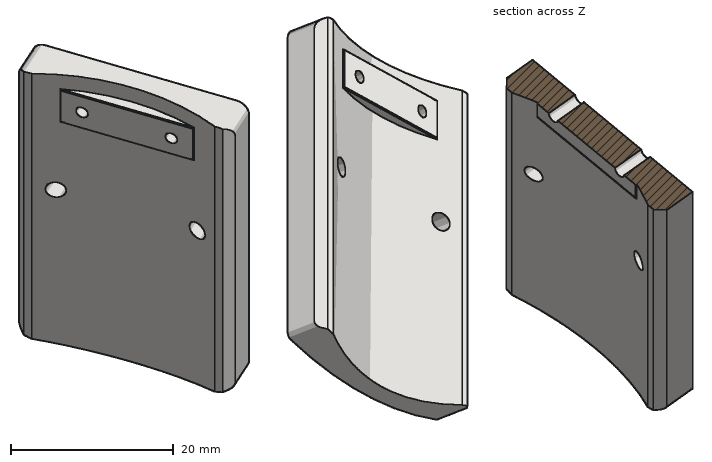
import cadquery as cq
import math

width = 29.0
thickness = 5.5
height = 45.2
half_width = width / 2

bottom_radius = 50.0
top_corner_radius = 1.7
bottom_corner_radius = 0.9

edge_chamfer = 1.18
rim_width = 1.05
center_thickness = 2.95

pad_width = 18.0
pad_height = 5.4
pad_top_gap = 2.35
pad_front = 4.45
pad_chamfer = 0.15
pad_center_z = height - pad_top_gap - pad_height / 2

pad_hole_diameter = 1.6
pad_hole_spacing = 12.0
plate_hole_diameter = 2.45
plate_hole_spacing = 19.0
plate_hole_z = height - 19.0


def make_plate():
    """Plate with a bowed lower edge and rounded corners."""
    side_bottom_z = bottom_radius - math.sqrt(bottom_radius**2 - half_width**2)
    plate = (
        cq.Workplane("XZ")
        .moveTo(-half_width, height)
        .lineTo(-half_width, side_bottom_z)
        .threePointArc((0, 0), (half_width, side_bottom_z))
        .lineTo(half_width, height)
        .close()
        .extrude(thickness)
    )
    plate = plate.edges("|Y and >Z").fillet(top_corner_radius)
    lower_corners = cq.selectors.BoxSelector(
        (-width, -thickness - 0.45, 0), (width, 0.45, height / 2)
    )
    return plate.edges("|Y").edges(lower_corners).fillet(bottom_corner_radius)


def make_section_prism():
    """Vertical prism with chamfered sides, narrow rims and a hollow front."""
    rim_outer = half_width - edge_chamfer
    rim_inner = rim_outer - rim_width
    shoulder = thickness - edge_chamfer
    return (
        cq.Workplane("XY")
        .moveTo(-half_width, 0)
        .lineTo(-half_width, -shoulder)
        .lineTo(-rim_outer, -thickness)
        .lineTo(-rim_inner, -thickness)
        .threePointArc((0, -center_thickness), (rim_inner, -thickness))
        .lineTo(rim_outer, -thickness)
        .lineTo(half_width, -shoulder)
        .lineTo(half_width, 0)
        .close()
        .extrude(height)
    )


def make_pad():
    """Flat pad rising from the hollow, with its front edges chamfered."""
    return (
        cq.Workplane("XZ")
        .center(0, pad_center_z)
        .rect(pad_width, pad_height)
        .extrude(pad_front)
        .faces("<Y")
        .chamfer(pad_chamfer)
    )


def make_hole_pair(diameter, spacing, z):
    """Cutters for two holes along Y, mirrored about x = 0."""
    return (
        cq.Workplane("XZ")
        .pushPoints([(-spacing / 2, z), (spacing / 2, z)])
        .circle(diameter / 2)
        .extrude(thickness)
    )


result = (
    make_plate()
    .intersect(make_section_prism())
    .union(make_pad())
    .cut(make_hole_pair(pad_hole_diameter, pad_hole_spacing, pad_center_z))
    .cut(make_hole_pair(plate_hole_diameter, plate_hole_spacing, plate_hole_z))
)